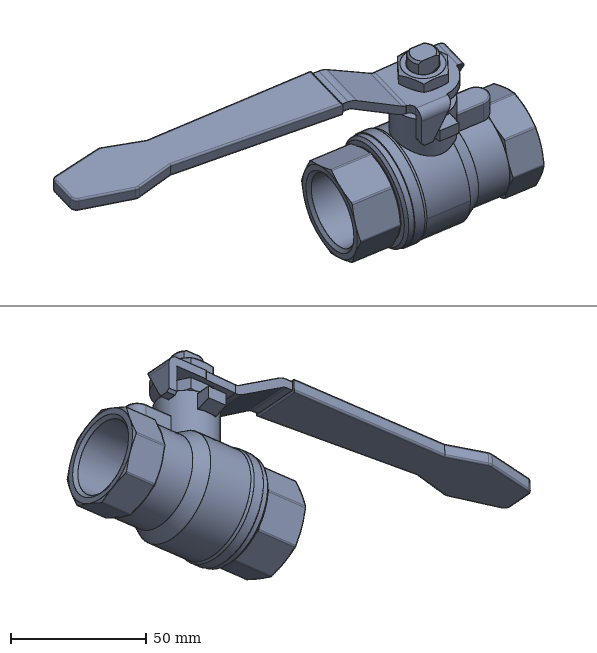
import cadquery as cq
import math


body_half_length = 40.8
body_radius = 22.5
neck_radius = 19.0
neck_end_y = 12.3
barrel_end_y = 6.5
band_diameter = 46.0
band_radius = band_diameter / 2
band_back_y = -12.5
band_ramp = 1.2
band_front_y = -18.1
collar_front_y = -21.7
collar_round = 1.2

octagon_corner_radius = 20.5
octagon_face_radius = 18.9
octagon_edge_round = 1.0
octagon_chamfer = 0.5
back_octagon_length = 14.7
octagon_back_y = body_half_length - back_octagon_length
front_octagon_length = 18.7

bore_radius = 15.1
bore_depth = 19.9
bore_chamfer = 1.4

housing_radius = 12.5
housing_top = 37.4
rib_width = 10.1
rib_end_y = 28.5
rib_top = 27.2
rib_edge_round = 0.5
lug_reach = 18.3
lug_width = 8.4
lug_top = 36.4
lug_tip_bottom = 31.2
lug_root_bottom = 29.5

hexagon_flats = 18.5
hexagon_chamfer = 1.0
hexagon_face_radius = 8.5
gland_collar_radius = 9.1
gland_collar_height = 1.2
nut_height = 6.0
nut_hole_radius = 5.0
nut_mouth_radius = 6.4
nut_mouth_angle = 90
stem_diameter = 12.1
stem_flats = 8.2
stem_top = 59.7
stem_chamfer = 1.0

sheet = 3.8
plate_bottom = 44.4
plate_top = plate_bottom + sheet
plate_radius = 13.7
plate_side = 12.0
plate_corner_round = 2.4
tab_reach = 18.0
tab_bottom = 32.0
tab_bend_radius = sheet
tab_corner_cut = 1.2
tab_free_side = 2.0
tab_bottom_free_side = -7.0
arm_bend_radius = 4.0
arm_bend_1 = (-15.7, plate_bottom + sheet / 2)
arm_bend_2 = (-37.8, 59.3)
arm_end_along = 10.0
arm_end_half_width = 10.0

grip_angle = 2.1
grip_start = 4.4
grip_length = 116.0
grip_thickness = 5.5
grip_edge_round = 0.8
grip_root_half_width = 11.1
grip_waist_half_width = 8.4
grip_waist_at = 73.8
grip_wide_half_width = 13.5
grip_wide_at = 91.5
grip_wide_round = 3.5
grip_tip_half_width = 7.5
grip_tip_round = 2.8


def chamfered_prism(sides, corner_radius, height, face_radius, chamfer, edge_round=0.0):
    """Upright prism on Z = 0 whose corners are turned down to face_radius at both ends."""
    prism = cq.Workplane("XY").polygon(sides, 2 * corner_radius).extrude(height)
    if edge_round:
        prism = prism.edges("|Z").fillet(edge_round)
    turned = (
        cq.Workplane("XZ")
        .moveTo(0, 0)
        .lineTo(face_radius, 0)
        .lineTo(corner_radius, chamfer)
        .lineTo(corner_radius, height - chamfer)
        .lineTo(face_radius, height)
        .lineTo(0, height)
        .close()
        .revolve(360, (0, 0), (0, 1))
    )
    return prism.intersect(turned)


def make_barrel():
    """Round middle of the body with its shoulder, raised band and collar."""
    core_end_y = body_half_length - octagon_chamfer
    profile = (
        cq.Workplane("XY")
        .moveTo(0, core_end_y)
        .lineTo(octagon_face_radius, core_end_y)
        .lineTo(octagon_face_radius, octagon_back_y)
        .lineTo(neck_radius, octagon_back_y)
        .lineTo(neck_radius, neck_end_y)
        .lineTo(body_radius, barrel_end_y)
        .lineTo(body_radius, band_back_y)
        .lineTo(band_radius, band_back_y - band_ramp)
        .lineTo(band_radius, band_front_y)
        .lineTo(body_radius, band_front_y)
        .lineTo(body_radius, collar_front_y + collar_round)
        .lineTo(body_radius - collar_round, collar_front_y)
        .lineTo(octagon_face_radius, collar_front_y)
        .lineTo(octagon_face_radius, -core_end_y)
        .lineTo(0, -core_end_y)
        .close()
    )
    return profile.revolve(360, (0, 0), (0, 1))


def make_octagon(length, front_y):
    """Octagonal pipe end with corners on the X and Z axes, reaching back from front_y."""
    octagon = chamfered_prism(
        8, octagon_corner_radius, length, octagon_face_radius, octagon_chamfer, octagon_edge_round
    )
    return octagon.rotate((0, 0, 0), (1, 0, 0), -90).translate((0, front_y, 0))


def make_bore():
    """Blind bore with a chamfered mouth in the front end of the pipe."""
    mouth_radius = bore_radius + bore_chamfer
    return (
        cq.Workplane("XY")
        .moveTo(0, -body_half_length)
        .lineTo(mouth_radius, -body_half_length)
        .lineTo(bore_radius, bore_chamfer - body_half_length)
        .lineTo(bore_radius, bore_depth - body_half_length)
        .lineTo(0, bore_depth - body_half_length)
        .close()
        .revolve(360, (0, 0), (0, 1))
    )


def make_housing():
    """Upright stem housing with the rib behind it and the two stop lugs at its sides."""
    housing = cq.Workplane("XY").circle(housing_radius).extrude(housing_top)
    rib_round_y = rib_end_y - rib_width / 2
    rib = (
        cq.Workplane("XY")
        .moveTo(-rib_width / 2, 0)
        .lineTo(-rib_width / 2, rib_round_y)
        .threePointArc((0, rib_end_y), (rib_width / 2, rib_round_y))
        .lineTo(rib_width / 2, 0)
        .close()
        .extrude(rib_top)
        .faces(">Z")
        .edges()
        .fillet(rib_edge_round)
    )
    lugs = (
        cq.Workplane("XZ")
        .moveTo(-lug_reach, lug_top)
        .lineTo(lug_reach, lug_top)
        .lineTo(lug_reach, lug_tip_bottom)
        .lineTo(housing_radius, lug_root_bottom)
        .lineTo(-housing_radius, lug_root_bottom)
        .lineTo(-lug_reach, lug_tip_bottom)
        .close()
        .extrude(lug_width / 2, both=True)
    )
    return housing.union(rib).union(lugs)


def make_hexagon(height):
    """Chamfered hexagon with two corners on the Y axis."""
    corner_radius = hexagon_flats / 2 / math.cos(math.pi / 6)
    hexagon = chamfered_prism(6, corner_radius, height, hexagon_face_radius, hexagon_chamfer)
    return hexagon.rotate((0, 0, 0), (0, 0, 1), 90)


def make_stem():
    """Gland below the lever, nut above it, and the stem with its two flats."""
    gland_bottom = housing_top + gland_collar_height
    gland_collar = cq.Workplane("XY").circle(gland_collar_radius).extrude(plate_top)
    gland = make_hexagon(plate_top - gland_bottom).translate((0, 0, gland_bottom))
    nut = make_hexagon(nut_height).faces(">Z").workplane()
    nut = nut.cskHole(2 * nut_hole_radius, 2 * nut_mouth_radius, nut_mouth_angle)
    nut = nut.translate((0, 0, plate_top))
    stem = cq.Workplane("XY").circle(stem_diameter / 2).extrude(stem_top).faces(">Z").chamfer(stem_chamfer)
    stem = stem.intersect(cq.Workplane("XY").box(stem_flats, stem_diameter, 2 * stem_top))
    return gland_collar.union(gland).union(nut).union(stem)


def make_tab():
    """Tab bent down from the +X side of the lever plate, with one slanting side."""
    section = (
        cq.Workplane("XZ")
        .moveTo(0, plate_top)
        .lineTo(tab_reach, plate_top)
        .lineTo(tab_reach, tab_bottom)
        .lineTo(tab_reach - sheet, tab_bottom)
        .lineTo(tab_reach - sheet, plate_bottom)
        .lineTo(0, plate_bottom)
        .close()
        .extrude(plate_radius, both=True)
    )
    bent = section.edges("|Y and >X and >Z").fillet(tab_bend_radius)
    face = (
        cq.Workplane("YZ")
        .moveTo(-plate_side, plate_top)
        .lineTo(tab_free_side, plate_top)
        .lineTo(tab_bottom_free_side, tab_bottom)
        .lineTo(tab_corner_cut - plate_side, tab_bottom)
        .lineTo(-plate_side, tab_bottom + tab_corner_cut)
        .close()
        .extrude(tab_reach)
    )
    return bent.intersect(face)


def make_plate():
    """Flat lever plate around the stem with a stop tab on its +X and +Y sides."""
    front_y = -plate_side - plate_corner_round
    plate = (
        cq.Workplane("XY")
        .workplane(offset=plate_bottom)
        .moveTo(-plate_side, plate_radius)
        .lineTo(0, plate_radius)
        .radiusArc((plate_radius, 0), plate_radius)
        .lineTo(plate_radius, -plate_side)
        .lineTo(grip_root_half_width + plate_corner_round, -plate_side)
        .radiusArc((grip_root_half_width, front_y), -plate_corner_round)
        .lineTo(-grip_root_half_width, front_y)
        .close()
        .extrude(sheet)
    )
    side_tab = make_tab()
    back_tab = side_tab.rotate((0, 0, 0), (0, 0, 1), 90).mirror("YZ")
    return plate.union(side_tab).union(back_tab)


def grip_point(along, above=0.0):
    """(Y, Z) of a point on the grip line, which rises from the second bend of the arm."""
    angle = math.radians(grip_angle)
    y = arm_bend_2[0] - along * math.cos(angle) + above * math.sin(angle)
    z = arm_bend_2[1] + along * math.sin(angle) + above * math.cos(angle)
    return y, z


def make_arm():
    """Sheet arm that climbs from the plate to the grip in two bends."""
    rise = math.atan2(arm_bend_2[1] - arm_bend_1[1], arm_bend_1[0] - arm_bend_2[0])
    tilt = math.radians(grip_angle)
    half = sheet / 2

    def bend_corner(bend, angle_before, angle_after, side):
        """(Y, Z) where the upper (side 1) or lower (side -1) faces meet at a bend."""
        middle = (angle_before + angle_after) / 2
        reach = side * half / math.cos((angle_after - angle_before) / 2)
        return bend[0] + reach * math.sin(middle), bend[1] + reach * math.cos(middle)

    lower_1 = bend_corner(arm_bend_1, 0, rise, -1)
    upper_1 = bend_corner(arm_bend_1, 0, rise, 1)
    lower_2 = bend_corner(arm_bend_2, rise, tilt, -1)
    upper_2 = bend_corner(arm_bend_2, rise, tilt, 1)
    side_outline = [
        (0, plate_top),
        upper_1,
        upper_2,
        grip_point(arm_end_along, half),
        grip_point(arm_end_along, -half),
        lower_2,
        lower_1,
        (0, plate_bottom),
    ]
    arm = cq.Workplane("YZ").polyline(side_outline).close().extrude(plate_side, both=True)
    for corner, radius in [
        (upper_1, arm_bend_radius),
        (lower_1, arm_bend_radius + sheet),
        (upper_2, arm_bend_radius + sheet),
        (lower_2, arm_bend_radius),
    ]:
        arm = arm.edges(cq.NearestToPointSelector((0, *corner))).fillet(radius)
    end_y = grip_point(arm_end_along)[0]
    taper = [
        (-plate_side, plate_radius),
        (plate_side, plate_radius),
        (arm_end_half_width, end_y),
        (-arm_end_half_width, end_y),
    ]
    return arm.intersect(cq.Workplane("XY").polyline(taper).close().extrude(2 * stem_top))


def make_grip():
    """Flat grip that narrows to a waist, widens near the end and narrows to the tip."""
    angle = math.radians(grip_angle)
    base = grip_point(grip_start, -grip_thickness / 2)
    plane = cq.Plane(origin=(0, *base), xDir=(1, 0, 0), normal=(0, math.sin(angle), math.cos(angle)))
    one_side = [
        (grip_root_half_width, 0),
        (grip_waist_half_width, -grip_waist_at),
        (grip_wide_half_width, -grip_wide_at),
        (grip_tip_half_width, -grip_length),
    ]
    other_side = [(-x, y) for x, y in reversed(one_side)]
    grip = cq.Workplane(plane).polyline(one_side + other_side).close().extrude(grip_thickness)
    for half_width, along, radius in [
        (grip_wide_half_width, grip_wide_at, grip_wide_round),
        (grip_tip_half_width, grip_length, grip_tip_round),
    ]:
        for side in (-1, 1):
            corner = plane.toWorldCoords((side * half_width, -along, grip_thickness / 2))
            grip = grip.edges(cq.NearestToPointSelector(corner)).fillet(radius)
    for is_top in (True, False):
        face = cq.DirectionMinMaxSelector(plane.zDir, is_top)
        grip = grip.faces(face).edges().fillet(grip_edge_round)
    return grip


pipe = (
    make_barrel()
    .union(make_octagon(front_octagon_length, -body_half_length))
    .union(make_octagon(back_octagon_length, octagon_back_y))
)
front_bore = make_bore()
pipe = pipe.union(make_housing()).cut(front_bore).cut(front_bore.mirror("XZ"))
lever = make_plate().union(make_arm()).union(make_grip())
result = pipe.union(make_stem()).union(lever)